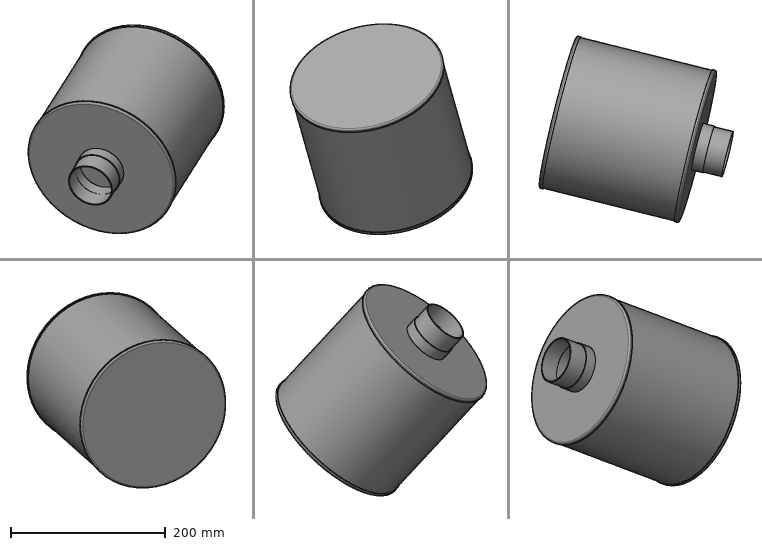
import cadquery as cq

total_length = 226.0
pipe_length = 40.0
body_length = total_length - pipe_length

body_diameter = 201.0
rim_diameter = 203.0
rim_flat_diameter = 198.3
rim_width = 5.0
rim_fillet = (rim_diameter - rim_flat_diameter) / 2

pipe_diameter = 60.4
collar_diameter = 62.5
collar_length = 15.0
bore_diameter = 57.7
bore_depth = pipe_length

pipe_end_y = -total_length / 2
body_front_y = pipe_end_y + pipe_length


def cylinder_along_y(diameter, start_y, length):
    """Cylinder on the Y axis running from start_y toward +Y."""
    plane = cq.Plane(origin=(0, start_y, 0), xDir=(1, 0, 0), normal=(0, 1, 0))
    return cq.Workplane(plane).circle(diameter / 2).extrude(length)


def make_canister():
    """Solid round body with a slightly raised rim, rounded on its outer edge, at each end."""
    blank = cylinder_along_y(rim_diameter, body_front_y, body_length)
    rounded = blank.faces("<Y or >Y").edges().fillet(rim_fillet)
    wall_start_y = body_front_y + rim_width
    wall_length = body_length - 2 * rim_width
    wall_band = cylinder_along_y(rim_diameter, wall_start_y, wall_length)
    wall = cylinder_along_y(body_diameter, wall_start_y, wall_length)
    return rounded.cut(wall_band).union(wall)


def make_outlet_pipe():
    """Straight pipe with a wider collar where it meets the canister."""
    pipe = cylinder_along_y(pipe_diameter, pipe_end_y, pipe_length)
    collar = cylinder_along_y(collar_diameter, body_front_y - collar_length, collar_length)
    return pipe.union(collar)


bore = cylinder_along_y(bore_diameter, pipe_end_y, bore_depth)
result = make_canister().union(make_outlet_pipe()).cut(bore)